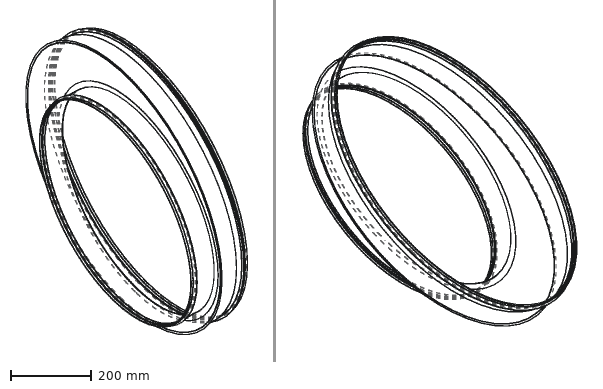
import cadquery as cq


TOTAL_LENGTH = 156.0
SHEET = 1.2
LARGE_END = TOTAL_LENGTH / 2
SMALL_END = -TOTAL_LENGTH / 2
AXIS_OFFSET = 59.0

PLATE_FRONT = -6.9
PLATE_BACK = PLATE_FRONT + SHEET

LARGE_FLANGE = 813.0
LARGE_TUBE = 802.5
LARGE_NECK = 798.0
SMALL_FLANGE = 663.0
SMALL_TUBE = 631.0
SMALL_NECK = 628.0

LARGE_NECK_LENGTH = 32.5
SMALL_NECK_LENGTH = 19.0
STEP_LENGTH = 5.0
BEND_LENGTH = 2.5
BEND_RISE = 0.4

RIM_LENGTH = 6.5
GROOVE_DEPTH = SHEET
GROOVE_END = 16.0
GROOVE_RAMP = 2.0

LARGE_BEAD = 804.0
LARGE_LIP = 811.0
SMALL_BEAD = 634.0
SMALL_LIP = 639.0
BEAD_POSITION = 10.5
TIP_START = 13.0
TIP_END = 15.5


def revolved(profile, axis_x):
    """Solid of revolution of (radius, y) points about the Y-parallel axis at axis_x."""
    points = [(axis_x + radius, y) for radius, y in profile]
    return cq.Workplane("XY").polyline(points).close().revolve(360, (axis_x, 0, 0), (axis_x, 1, 0))


def make_collar(flange, tube, neck, neck_length, end_y, inward, axis_x):
    """Thin collar: flange level with the plate, tube, narrower neck, seal groove and thick rim.

    The open end is at end_y; inward is the direction (+1 or -1) along Y from it to the plate.
    """
    tube_r = tube / 2
    neck_r = neck / 2
    groove_r = neck_r - GROOVE_DEPTH
    flange_near = PLATE_BACK if inward < 0 else PLATE_FRONT
    flange_far = flange_near + inward * SHEET
    wall = [
        (tube_r, end_y + inward * (neck_length + STEP_LENGTH + BEND_LENGTH)),
        (tube_r - BEND_RISE, end_y + inward * (neck_length + STEP_LENGTH)),
        (neck_r, end_y + inward * neck_length),
        (neck_r, end_y + inward * GROOVE_END),
        (groove_r, end_y + inward * (GROOVE_END - GROOVE_RAMP)),
        (groove_r, end_y + inward * (RIM_LENGTH + GROOVE_RAMP)),
        (neck_r, end_y + inward * RIM_LENGTH),
    ]
    rim = [
        (tube_r, end_y + inward * RIM_LENGTH),
        (tube_r, end_y),
        (neck_r - SHEET, end_y),
    ]
    outer_flange = [(flange / 2, flange_far), (flange / 2, flange_near), (tube_r, flange_near)]
    inner_wall = [(radius - SHEET, y) for radius, y in reversed(wall)]
    bore_mouth = [(tube_r - SHEET, flange_far)]
    return revolved(outer_flange + wall + rim + inner_wall + bore_mouth, axis_x)


def make_seal(bead, lip, neck, end_y, inward, axis_x):
    """Ring seated in the seal groove, with a lip that slopes outwards away from the open end."""
    neck_r = neck / 2
    groove_r = neck_r - GROOVE_DEPTH
    profile = [
        (groove_r, end_y + inward * (RIM_LENGTH + GROOVE_RAMP)),
        (neck_r, end_y + inward * RIM_LENGTH),
        (bead / 2, end_y + inward * BEAD_POSITION),
        (lip / 2, end_y + inward * TIP_START),
        (lip / 2, end_y + inward * TIP_END),
        (neck_r, end_y + inward * GROOVE_END),
        (groove_r, end_y + inward * (GROOVE_END - GROOVE_RAMP)),
    ]
    return revolved(profile, axis_x)


def make_plate():
    """Flat disc filling the space between the large tube and the small collar's flange."""
    disc = cq.Workplane("XZ", origin=(0, PLATE_BACK, 0)).circle(LARGE_TUBE / 2 - SHEET).extrude(SHEET)
    opening = cq.Workplane("XZ", origin=(AXIS_OFFSET, PLATE_BACK, 0)).circle(SMALL_FLANGE / 2).extrude(SHEET)
    return disc.cut(opening)


TOWARDS_FRONT = -1
TOWARDS_BACK = 1

large_collar = make_collar(LARGE_FLANGE, LARGE_TUBE, LARGE_NECK, LARGE_NECK_LENGTH, LARGE_END, TOWARDS_FRONT, 0)
small_collar = make_collar(
    SMALL_FLANGE, SMALL_TUBE, SMALL_NECK, SMALL_NECK_LENGTH, SMALL_END, TOWARDS_BACK, AXIS_OFFSET
)
large_seal = make_seal(LARGE_BEAD, LARGE_LIP, LARGE_NECK, LARGE_END, TOWARDS_FRONT, 0)
small_seal = make_seal(SMALL_BEAD, SMALL_LIP, SMALL_NECK, SMALL_END, TOWARDS_BACK, AXIS_OFFSET)
plate = make_plate()

result = cq.Compound.makeCompound(
    [large_collar.val(), small_collar.val(), plate.val(), large_seal.val(), small_seal.val()]
)